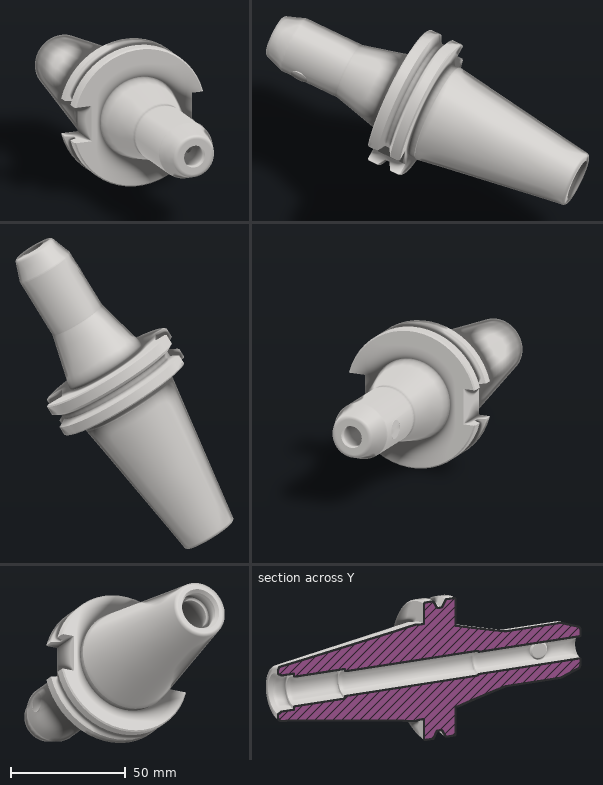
import cadquery as cq
import math

length = 148.3
taper_end_x = 68.1
neck_start_x = 68.5
flange_start_x = 71.5
flange_end_x = 87.2
collar_end_x = 88.1
shank_start_x = 111.5
nose_start_x = 138.8

taper_ratio = 7 / 24
taper_large_radius = 44.5 / 2
taper_small_radius = taper_large_radius - taper_end_x * taper_ratio / 2
taper_rim_fillet = 1.5
neck_radius = 43.8 / 2

flange_radius = 63.2 / 2
flange_chamfer = 0.6
groove_center_x = 79.2
groove_bottom_width = 2.2
groove_depth = 3.4
groove_flank_angle = 30
groove_bottom_radius = flange_radius - groove_depth

slot_width = 16.2
front_slot_floor = 22.5
back_slot_floor = 24.9

collar_radius = 18.5
shank_radius = 25.4 / 2
nose_angle = 19.5
nose_end_radius = shank_radius - (length - nose_start_x) * math.tan(math.radians(nose_angle))
nose_fillet = 1.8
nose_blend_radius = 1.8

mouth_radius = 9.2
pilot_radius = 16.3 / 2
thread_radius = 13.3 / 2
clearance_radius = 11.1 / 2
tool_radius = 10.0 / 2
mouth_depth = 1.8
pilot_depth = 7.7
thread_depth = 32.6
clearance_depth = 97.9
tool_start_x = clearance_depth + clearance_radius - tool_radius

screw_x = 130.1
screw_radius = 8.5 / 2
screw_tip_chamfer = 0.7
screw_tip_radius = screw_radius - screw_tip_chamfer
screw_tip_y = 3.7
screw_shoulder_y = screw_tip_y + screw_tip_chamfer
screw_head_y = 12.5


def revolve_about_x(points):
    return cq.Workplane("XY").polyline(points).close().revolve(360, (0, 0, 0), (1, 0, 0))


def make_holder():
    points = [
        (0, 0),
        (0, taper_small_radius),
        (taper_end_x, taper_large_radius),
        (neck_start_x, neck_radius),
        (flange_start_x, neck_radius),
        (flange_start_x, flange_radius),
        (flange_end_x, flange_radius),
        (flange_end_x, collar_radius),
        (collar_end_x, collar_radius),
        (shank_start_x, shank_radius),
        (nose_start_x, shank_radius),
        (length, nose_end_radius),
        (length, 0),
    ]
    holder = revolve_about_x(points)
    holder = holder.faces("<X").edges().fillet(taper_rim_fillet)
    holder = holder.faces(">X").edges().fillet(nose_fillet)
    nose_corner = cq.selectors.NearestToPointSelector((nose_start_x, 0, 0))
    holder = holder.edges("%CIRCLE").edges(nose_corner).fillet(nose_blend_radius)
    flange_rims = cq.selectors.RadiusNthSelector(-1)
    return holder.edges("%CIRCLE").edges(flange_rims).chamfer(flange_chamfer)


def make_groove():
    bottom = groove_bottom_width / 2
    top = bottom + groove_depth * math.tan(math.radians(groove_flank_angle))
    points = [
        (groove_center_x - bottom, groove_bottom_radius),
        (groove_center_x + bottom, groove_bottom_radius),
        (groove_center_x + top, flange_radius),
        (groove_center_x - top, flange_radius),
    ]
    return revolve_about_x(points)


def make_slot(side, floor):
    flange_width = flange_end_x - flange_start_x
    depth = flange_radius - floor
    slot = cq.Workplane("XY").box(flange_width, depth, slot_width)
    center_x = (flange_start_x + flange_end_x) / 2
    return slot.translate((center_x, side * (floor + depth / 2), 0))


def make_bore():
    points = [
        (0, 0),
        (0, mouth_radius),
        (mouth_depth, pilot_radius),
        (pilot_depth, pilot_radius),
        (pilot_depth, thread_radius),
        (thread_depth, thread_radius),
        (thread_depth, clearance_radius),
        (clearance_depth, clearance_radius),
        (tool_start_x, tool_radius),
        (length, tool_radius),
        (length, 0),
    ]
    return revolve_about_x(points)


def make_screw_hole():
    hole = cq.Workplane("XZ", origin=(screw_x, 0, 0)).circle(screw_radius)
    return hole.extrude(-shank_radius)


def make_screw():
    points = [
        (screw_x, screw_tip_y),
        (screw_x + screw_tip_radius, screw_tip_y),
        (screw_x + screw_radius, screw_shoulder_y),
        (screw_x + screw_radius, screw_head_y),
        (screw_x, screw_head_y),
    ]
    profile = cq.Workplane("XY").polyline(points).close()
    return profile.revolve(360, (screw_x, 0, 0), (screw_x, 1, 0))


holder = make_holder().cut(make_groove())
holder = holder.cut(make_slot(-1, front_slot_floor)).cut(make_slot(1, back_slot_floor))
holder = holder.cut(make_bore()).cut(make_screw_hole())
result = holder.union(make_screw())